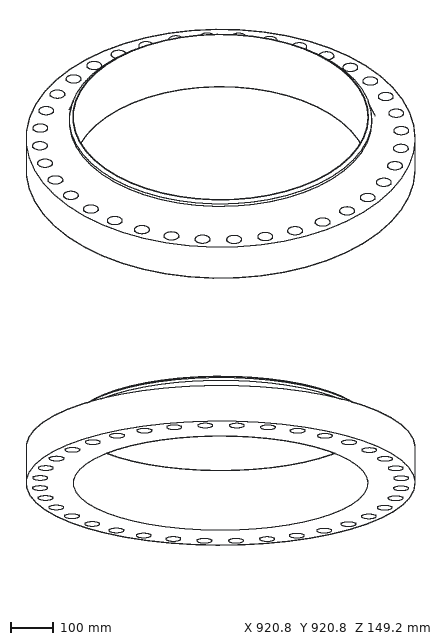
import cadquery as cq
import math

flange_radius = 920.75 / 2
flange_thickness = 88.9
overall_height = 149.17
bore_radius = 697.0 / 2

hub_base_radius = 756.0 / 2
hub_root_fillet = 6.0

collar_radius = 716.0 / 2
collar_height = 7.0
root_face_width = 1.6
bevel_angle = 37.5

bolt_count = 36
bolt_circle_radius = 857.25 / 2
bolt_hole_diameter = 35.0

root_face_radius = bore_radius + root_face_width
bevel_height = (collar_radius - root_face_radius) * math.tan(math.radians(bevel_angle))
collar_top = overall_height - bevel_height
collar_bottom = collar_top - collar_height


def make_body():
    """Revolve the flange, hub and welding end, then round the hub root."""
    profile = (
        cq.Workplane("XZ")
        .moveTo(bore_radius, 0)
        .lineTo(flange_radius, 0)
        .lineTo(flange_radius, flange_thickness)
        .lineTo(hub_base_radius, flange_thickness)
        .lineTo(collar_radius, collar_bottom)
        .lineTo(collar_radius, collar_top)
        .lineTo(root_face_radius, overall_height)
        .lineTo(bore_radius, overall_height)
        .close()
    )
    body = profile.revolve(360, (0, 0, 0), (0, 1, 0))
    hub_root = cq.selectors.RadiusNthSelector(-2)
    return body.edges("%CIRCLE").edges(hub_root).fillet(hub_root_fillet)


def make_bolt_holes():
    """Through holes spaced evenly on the bolt circle, one on the X axis."""
    return (
        cq.Workplane("XY")
        .polarArray(bolt_circle_radius, 0, 360, bolt_count)
        .circle(bolt_hole_diameter / 2)
        .extrude(flange_thickness)
    )


result = make_body().cut(make_bolt_holes())